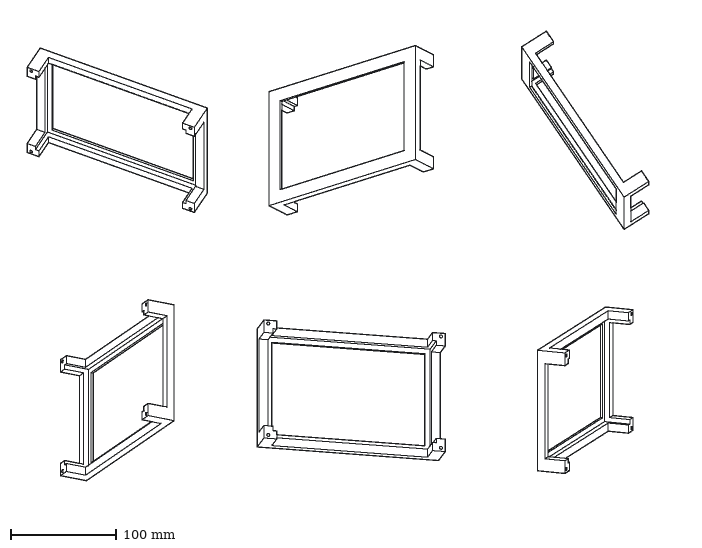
import cadquery as cq

length = 177.2
depth = 28.2
height = 118.3

frame_depth = 7.6
leg_size = 12.5

wall_x = 8.9
wall_z = 8.1
lip_width = 5.0
lip_thickness = 2.5

hole_diameter = 2.8
hole_inset_x = 4.3
hole_inset_z = 3.4
hole_depth = 14.2

back_y = depth / 2
front_y = -depth / 2
pocket_length = length - 2 * wall_x
pocket_height = height - 2 * wall_z


def block(size_x, size_z, y_start, y_end, center_x=0, center_z=0):
    """Box centred in X and Z that spans y_start to y_end."""
    box = cq.Workplane("XY").box(size_x, y_end - y_start, size_z)
    return box.translate((center_x, (y_start + y_end) / 2, center_z))


def corners(inset_x, inset_z):
    """Four mirrored positions at the given insets from the outer edges."""
    x = length / 2 - inset_x
    z = height / 2 - inset_z
    return [(sx * x, sz * z) for sx in (-1, 1) for sz in (-1, 1)]


result = block(length, height, back_y - frame_depth, back_y)
for x, z in corners(leg_size / 2, leg_size / 2):
    result = result.union(block(leg_size, leg_size, front_y, back_y, x, z))

result = result.cut(block(pocket_length, pocket_height, front_y, back_y - lip_thickness))

window_length = pocket_length - 2 * lip_width
window_height = pocket_height - 2 * lip_width
result = result.cut(block(window_length, window_height, front_y, back_y))

for x, z in corners(hole_inset_x, hole_inset_z):
    hole = cq.Workplane("XZ", origin=(x, front_y, z)).circle(hole_diameter / 2).extrude(-hole_depth)
    result = result.cut(hole)